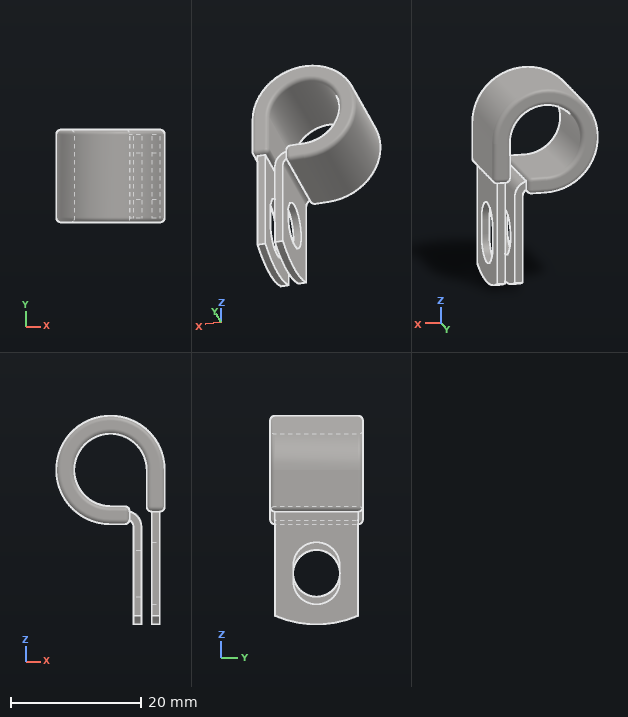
import cadquery as cq
import math


strap_thickness = 1.27
strap_width = 12.75
bend_inner_radius = 1.14
leg_gap = 1.54
leg_bottom_z = -23.745
leg_end_radius = 15.875

cushion_thickness = 0.77
loop_outer_radius = 8.355
cushion_end_x = 2.935
cushion_end_z = -6.4

hole_diameter = 7.144
hole_z = -15.875
slot_length = 9.525
slot_angle = 90

loop_mid_angle = 135
bend_mid_angle = 45

cushion_width = strap_width + 2 * cushion_thickness
loop_inner_radius = loop_outer_radius - strap_thickness - 2 * cushion_thickness
strap_outer_radius = loop_outer_radius - cushion_thickness
strap_inner_radius = loop_inner_radius + cushion_thickness
bend_outer_radius = bend_inner_radius + strap_thickness
near_leg_outer_x = strap_inner_radius - leg_gap
near_leg_inner_x = near_leg_outer_x - strap_thickness
bend_center_x = near_leg_inner_x - bend_inner_radius
bend_center_z = -strap_outer_radius - bend_inner_radius


def arc_point(center_x, center_z, radius, angle):
    """Point at an angle in degrees, measured from +X towards +Z."""
    turn = math.radians(angle)
    return center_x + radius * math.cos(turn), center_z + radius * math.sin(turn)


def extrude_across(profile, width):
    """Extrude an XZ profile symmetrically about the Y = 0 plane."""
    return profile.extrude(width / 2, both=True)


def make_cushion():
    """Three-quarter loop with two straight ends, every outside edge rounded."""
    profile = (
        cq.Workplane("XZ")
        .moveTo(loop_outer_radius, cushion_end_z)
        .lineTo(loop_outer_radius, 0)
        .threePointArc(arc_point(0, 0, loop_outer_radius, loop_mid_angle), (0, -loop_outer_radius))
        .lineTo(cushion_end_x, -loop_outer_radius)
        .lineTo(cushion_end_x, -loop_inner_radius)
        .lineTo(0, -loop_inner_radius)
        .threePointArc(arc_point(0, 0, loop_inner_radius, loop_mid_angle), (loop_inner_radius, 0))
        .lineTo(loop_inner_radius, cushion_end_z)
        .close()
    )
    body = extrude_across(profile, cushion_width)
    side_edges = body.faces("<Y or >Y").edges()
    upright_end = cq.selectors.BoxSelector(
        (0, -cushion_width, cushion_end_z - cushion_thickness),
        (2 * loop_outer_radius, cushion_width, cushion_end_z + cushion_thickness),
    )
    flat_end = cq.selectors.BoxSelector(
        (cushion_end_x - cushion_thickness, -cushion_width, -2 * loop_outer_radius),
        (cushion_end_x + cushion_thickness, cushion_width, 0),
    )
    end_edges = body.edges("|Y").edges(upright_end + flat_end)
    return side_edges.add(end_edges).fillet(cushion_thickness)


def make_strap_loop():
    """Strap bent around the loop and down into both legs."""
    profile = (
        cq.Workplane("XZ")
        .moveTo(strap_outer_radius, leg_bottom_z)
        .lineTo(strap_outer_radius, 0)
        .threePointArc(arc_point(0, 0, strap_outer_radius, loop_mid_angle), (0, -strap_outer_radius))
        .lineTo(bend_center_x, -strap_outer_radius)
        .threePointArc(
            arc_point(bend_center_x, bend_center_z, bend_inner_radius, bend_mid_angle),
            (near_leg_inner_x, bend_center_z),
        )
        .lineTo(near_leg_inner_x, leg_bottom_z)
        .lineTo(near_leg_outer_x, leg_bottom_z)
        .lineTo(near_leg_outer_x, bend_center_z)
        .threePointArc(
            arc_point(bend_center_x, bend_center_z, bend_outer_radius, bend_mid_angle),
            (bend_center_x, -strap_inner_radius),
        )
        .lineTo(0, -strap_inner_radius)
        .threePointArc(arc_point(0, 0, strap_inner_radius, loop_mid_angle), (strap_inner_radius, 0))
        .lineTo(strap_inner_radius, leg_bottom_z)
        .close()
    )
    return extrude_across(profile, strap_width)


def make_strap_outline():
    """Flat outline of the strap in YZ: straight sides and a curved leg end."""
    half_width = strap_width / 2
    end_rise = leg_end_radius - math.sqrt(leg_end_radius**2 - half_width**2)
    corner_z = leg_bottom_z + end_rise
    return (
        cq.Workplane("YZ")
        .moveTo(-half_width, loop_outer_radius)
        .lineTo(-half_width, corner_z)
        .threePointArc((0, leg_bottom_z), (half_width, corner_z))
        .lineTo(half_width, loop_outer_radius)
        .close()
        .extrude(loop_outer_radius, both=True)
    )


def make_near_leg_hole():
    """Cutter for the round hole, ending midway between the legs."""
    return (
        cq.Workplane("YZ")
        .center(0, hole_z)
        .circle(hole_diameter / 2)
        .extrude(near_leg_outer_x + leg_gap / 2)
    )


def make_far_leg_slot():
    """Cutter for the vertical slot, starting midway between the legs."""
    return (
        cq.Workplane("YZ", origin=(near_leg_outer_x + leg_gap / 2, 0, hole_z))
        .slot2D(slot_length, hole_diameter, slot_angle)
        .extrude(strap_thickness + leg_gap)
    )


strap = make_strap_loop().intersect(make_strap_outline())
strap = strap.cut(make_near_leg_hole()).cut(make_far_leg_slot())
result = make_cushion().union(strap)